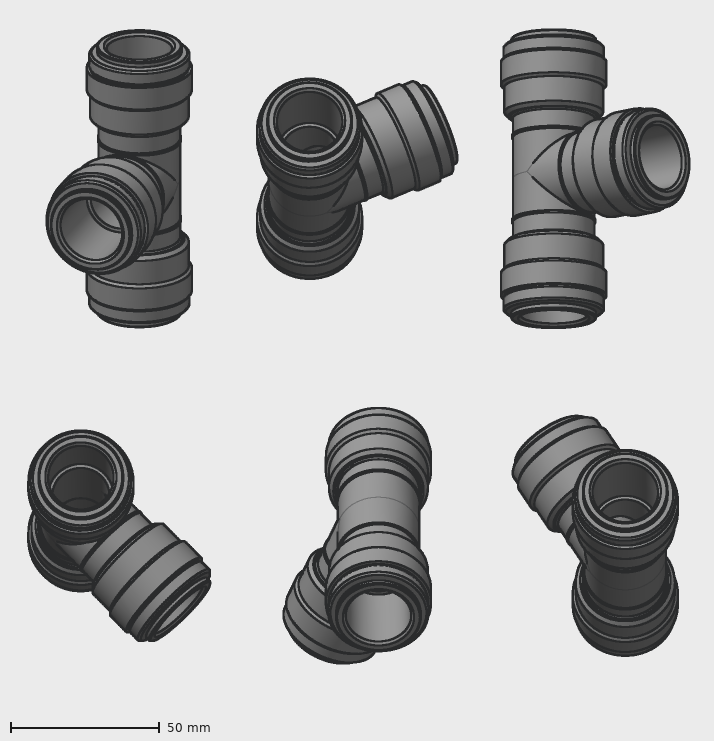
import cadquery as cq

arm_length = 48.3

collar_radius = 28.6 / 2
collar_chamfer = 0.4
collar_depth = 1.8
collar_neck_radius = 12.4

cap_radius = 33.8 / 2
cap_chamfer = 0.8
cap_start_depth = 2.4
cap_end_depth = 7.1
groove_radius = 33.0 / 2

band_radius = 35.5 / 2
band_start_depth = 7.9
band_taper = 0.8
band_end_depth = 16.5

body_radius = 33.3 / 2
band_root_chamfer = band_radius - band_taper - body_radius
body_taper = 1.45
body_end_depth = 26.8

tube_radius = 27.5 / 2
root_chamfer = 0.7

bead_height = 0.24
bead_width = 0.8
bead_offset = 14.6

bore_radius = 19.2 / 2
socket_radius = 22.0 / 2
mouth_radius = 24.0 / 2
socket_depth = body_end_depth


def revolve_arm(points):
    """Revolve (radius, distance from tee centre) points about Z.

    Starting on +Y keeps the seam clear of the tangent points of the equal tubes.
    """
    profile = cq.Workplane("YZ").polyline(points).close()
    return profile.revolve(360, (0, 0, 0), (0, 1, 0))


def arm_outside():
    def at(depth):
        return arm_length - depth

    bead_start = bead_offset + bead_width / 2
    bead_end = bead_offset - bead_width / 2
    return revolve_arm([
        (0, at(0)),
        (collar_radius - collar_chamfer, at(0)),
        (collar_radius, at(collar_chamfer)),
        (collar_radius, at(collar_depth)),
        (collar_neck_radius, at(collar_depth)),
        (collar_neck_radius, at(cap_start_depth)),
        (cap_radius - cap_chamfer, at(cap_start_depth)),
        (cap_radius, at(cap_start_depth + cap_chamfer)),
        (cap_radius, at(cap_end_depth)),
        (groove_radius, at(cap_end_depth)),
        (groove_radius, at(band_start_depth)),
        (band_radius, at(band_start_depth)),
        (band_radius, at(band_end_depth - band_taper)),
        (band_radius - band_taper, at(band_end_depth)),
        (body_radius, at(band_end_depth + band_root_chamfer)),
        (body_radius, at(body_end_depth - body_taper)),
        (body_radius - body_taper, at(body_end_depth)),
        (tube_radius + root_chamfer, at(body_end_depth)),
        (tube_radius, at(body_end_depth + root_chamfer)),
        (tube_radius, bead_start),
        (tube_radius + bead_height, bead_start),
        (tube_radius + bead_height, bead_end),
        (tube_radius, bead_end),
        (tube_radius, 0),
        (0, 0),
    ])


def arm_bore():
    socket_end = arm_length - socket_depth
    return revolve_arm([
        (0, 0),
        (bore_radius, 0),
        (bore_radius, socket_end),
        (socket_radius, socket_end),
        (socket_radius, arm_length - (mouth_radius - socket_radius)),
        (mouth_radius, arm_length),
        (0, arm_length),
    ])


def three_arms(arm):
    """Join copies of an upright arm pointing along +Z, -Z and -Y."""
    run = arm.union(arm.mirror("XY"))
    branch = arm.rotate((0, 0, 0), (1, 0, 0), 90)
    return run.union(branch)


result = three_arms(arm_outside()).cut(three_arms(arm_bore()))